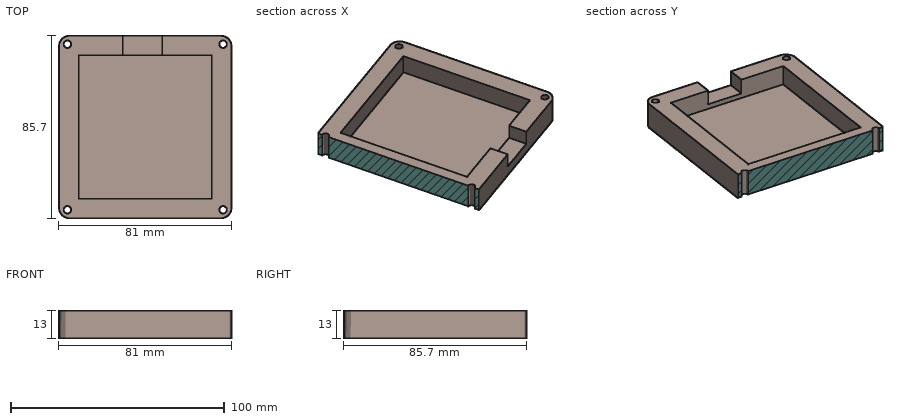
import cadquery as cq

length_x = 81.0
length_y = 85.67
height = 13.0
corner_radius = 5.0

wall = 9.2
floor_thickness = 3.0
pocket_x = length_x - 2 * wall
pocket_y = length_y - 2 * wall
pocket_depth = height - floor_thickness

notch_width = 18.5
notch_depth = 7.5
notch_center_x = -1.25

hole_diameter = 3.4
hole_inset = 4.0


def make_block():
    block = cq.Workplane("XY").box(length_x, length_y, height, centered=(True, True, False))
    return block.edges("|Z").fillet(corner_radius)


def cut_pocket(body):
    pocket = cq.Workplane("XY").box(pocket_x, pocket_y, pocket_depth, centered=(True, True, False))
    return body.cut(pocket.translate((0, 0, floor_thickness)))


def cut_notch(body):
    notch = cq.Workplane("XY").box(notch_width, wall, notch_depth, centered=(True, False, False))
    return body.cut(notch.translate((notch_center_x, pocket_y / 2, height - notch_depth)))


def drill_screw_holes(body):
    holes = (
        cq.Workplane("XY")
        .rect(length_x - 2 * hole_inset, length_y - 2 * hole_inset, forConstruction=True)
        .vertices()
        .circle(hole_diameter / 2)
        .extrude(height)
    )
    return body.cut(holes)


part = make_block()
part = cut_pocket(part)
part = cut_notch(part)
result = drill_screw_holes(part)